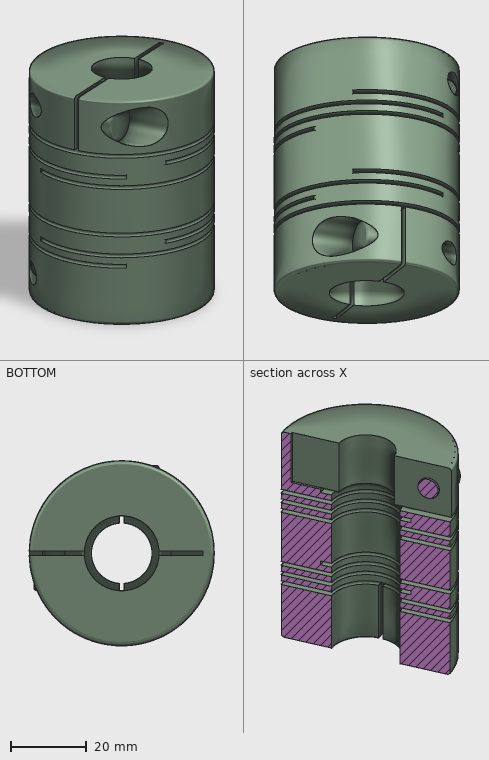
import cadquery as cq


body_diameter = 49.0
body_length = 63.5
body_radius = body_diameter / 2
rim_fillet = 1.0
top_bore_diameter = 16.0
lower_bore_diameter = 19.8

slot_width = 1.05
slot_pitch = 2.95
upper_group_z = 47.93
lower_group_z = 25.63
web_distance = 13.0
UNCUT_PLUS_Y, UNCUT_PLUS_X, UNCUT_MINUS_Y, UNCUT_MINUS_X = 90, 0, -90, 180
upper_webs = (UNCUT_PLUS_Y, UNCUT_MINUS_Y, UNCUT_PLUS_X, UNCUT_MINUS_X)
lower_webs = (UNCUT_PLUS_Y, UNCUT_MINUS_Y, UNCUT_MINUS_X, UNCUT_PLUS_X)

slit_width = 1.2
slit_reach = 21.5

lowest_slot_z = lower_group_z - (len(lower_webs) - 1) * slot_pitch
top_hub_length = body_length - upper_group_z - slot_width / 2
bottom_hub_length = lowest_slot_z - slot_width / 2

screw_offset = 18.0
top_screw_depth = 7.5
bottom_screw_depth = 7.7
screw_radius = 3.0
screw_length = 16.2
screw_tip_chamfer = 0.5
head_radius = 5.25
head_height = 6.0
head_fillet = 0.7
head_face = 9.87
head_seat = head_face - head_height
counterbore_radius = 5.5


def make_body():
    body = cq.Workplane("XY").circle(body_radius).extrude(body_length)
    body = body.faces("<Z or >Z").edges().fillet(rim_fillet)
    lower_bore = cq.Workplane("XY").circle(lower_bore_diameter / 2).extrude(upper_group_z)
    top_bore = cq.Workplane("XY").circle(top_bore_diameter / 2).extrude(body_length)
    return body.cut(lower_bore).cut(top_bore)


def slot_cutter(z, web_angle):
    """Plate that removes everything except the chord on the web_angle side."""
    cut_length = body_diameter + web_distance
    return (
        cq.Workplane("XY")
        .box(cut_length, 2 * body_diameter, slot_width)
        .translate((web_distance - cut_length / 2, 0, z))
        .rotate((0, 0, 0), (0, 0, 1), web_angle)
    )


def cut_slot_group(body, first_z, web_angles):
    for index, web_angle in enumerate(web_angles):
        body = body.cut(slot_cutter(first_z - index * slot_pitch, web_angle))
    return body


def slit_cutter(z_low, z_high):
    """Slit in the YZ plane, open on the -Y side."""
    slit_length = slit_reach + body_diameter
    return (
        cq.Workplane("XY")
        .box(slit_width, slit_length, z_high - z_low)
        .translate((0, slit_reach - slit_length / 2, (z_low + z_high) / 2))
    )


def x_cylinder(radius, x_start, x_end):
    return cq.Workplane("YZ").workplane(offset=x_start).circle(radius).extrude(x_end - x_start)


def place_screw_item(item, z):
    return item.translate((0, -screw_offset, z))


def screw_hole_cutter(z):
    thread_hole = x_cylinder(screw_radius, -body_radius, head_seat)
    counterbore = x_cylinder(counterbore_radius, head_seat, body_radius)
    return place_screw_item(thread_hole.union(counterbore), z)


def clamp_screw(z):
    shank = x_cylinder(screw_radius, head_seat - screw_length, head_seat)
    shank = shank.faces("<X").edges().chamfer(screw_tip_chamfer)
    head = x_cylinder(head_radius, head_seat, head_face)
    head = head.faces(">X").edges().fillet(head_fillet)
    return place_screw_item(shank.union(head), z)


def turn_over(item):
    """Half turn that moves a clamp from the top end to the bottom, with its slit from -Y to -X."""
    return item.rotate((0, 0, body_length / 2), (1, 1, body_length / 2), 180)


def add_clamp(body, hub_length, screw_depth, at_bottom):
    """Split a hub and fit its screw, with lengths measured from the hub's end of the body."""
    screw_z = body_length - screw_depth
    cutter = slit_cutter(body_length - hub_length, body_length).union(screw_hole_cutter(screw_z))
    screw = clamp_screw(screw_z)
    if at_bottom:
        cutter = turn_over(cutter)
        screw = turn_over(screw)
    return body.cut(cutter).union(screw)


coupling = make_body()
coupling = cut_slot_group(coupling, upper_group_z, upper_webs)
coupling = cut_slot_group(coupling, lower_group_z, lower_webs)
coupling = add_clamp(coupling, top_hub_length, top_screw_depth, at_bottom=False)
coupling = add_clamp(coupling, bottom_hub_length, bottom_screw_depth, at_bottom=True)
result = coupling